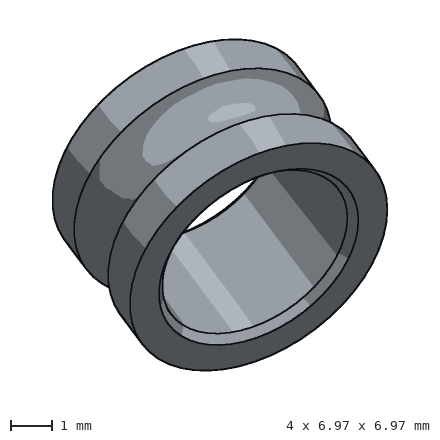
import cadquery as cq

width = 4.0
outer_diameter = 6.97
bore_diameter = 5.005
bore_chamfer = 0.195

groove_width = 1.755
groove_depth = 0.68

outer_radius = outer_diameter / 2
bore_radius = bore_diameter / 2
half_width = width / 2
half_groove = groove_width / 2
chamfer_radius = bore_radius + bore_chamfer
chamfer_start = half_width - bore_chamfer

section = (
    cq.Workplane("XY")
    .moveTo(-chamfer_start, bore_radius)
    .lineTo(-half_width, chamfer_radius)
    .lineTo(-half_width, outer_radius)
    .lineTo(-half_groove, outer_radius)
    .threePointArc((0, outer_radius - groove_depth), (half_groove, outer_radius))
    .lineTo(half_width, outer_radius)
    .lineTo(half_width, chamfer_radius)
    .lineTo(chamfer_start, bore_radius)
    .close()
)

result = section.revolve(360, (0, 0, 0), (1, 0, 0))